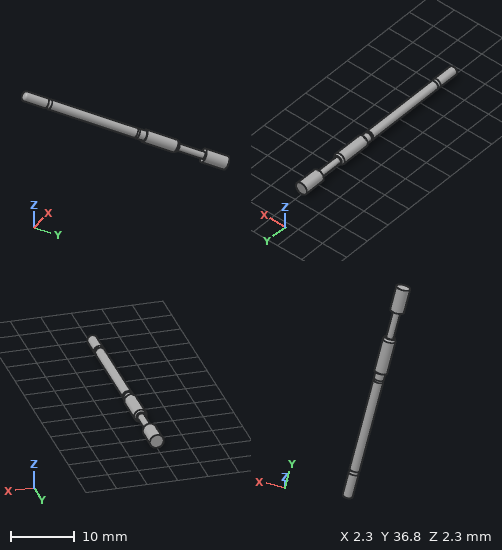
import cadquery as cq
import math

length = 36.8
head_end = 4.1
collar_start = 8.8
collar_end = 14.8

head_diameter = 2.3
neck_diameter = 1.2
collar_diameter = 2.1
barrel_diameter = 1.65

collar_chamfer_length = 0.45
collar_chamfer_depth = 0.22
tip_fillet = 0.4

upper_groove = (16.23, 0.2, 0.25)
lower_groove = (32.3, 0.3, 0.4)


def cylinder(diameter, start, end):
    """Round section on the Y axis between two distances from the head end."""
    return (
        cq.Workplane("XZ", origin=(0, length / 2 - start, 0))
        .circle(diameter / 2)
        .extrude(end - start)
    )


def collar():
    """Collar whose edge towards the neck is chamfered longer than deep."""
    blank = cylinder(collar_diameter, collar_start, collar_end)
    return blank.faces(">Y").chamfer(collar_chamfer_length, collar_chamfer_depth)


def barrel():
    """Long slim section with a rounded tip."""
    blank = cylinder(barrel_diameter, collar_end, length)
    return blank.faces("<Y").edges().fillet(tip_fillet)


def groove_cutter(middle, half_width, arc_radius):
    """Ring of circular section, sunk in the barrel to give the groove its surface width."""
    axis_distance = barrel_diameter / 2 + math.sqrt(arc_radius**2 - half_width**2)
    return (
        cq.Workplane("XY", origin=(0, length / 2 - middle, 0))
        .center(axis_distance, 0)
        .circle(arc_radius)
        .revolve(360, (-axis_distance, 0), (-axis_distance, 1))
    )


result = (
    cylinder(head_diameter, 0, head_end)
    .union(cylinder(neck_diameter, head_end, collar_start))
    .union(collar())
    .union(barrel())
    .cut(groove_cutter(*upper_groove))
    .cut(groove_cutter(*lower_groove))
)